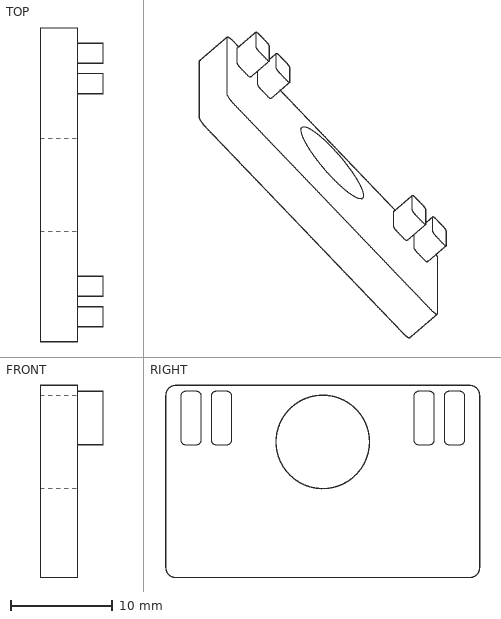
import cadquery as cq

length = 31.0
height = 19.0
depth = 6.2

peg_length = 2.5
plate_thickness = depth - peg_length
corner_radius = 1.0

hole_diameter = 9.2
hole_top_margin = 1.0
hole_center_z = height / 2 - hole_top_margin - hole_diameter / 2

peg_width = 2.0
peg_height = 5.3
peg_edge_radius = 0.5
peg_end_margin = 1.5
peg_top_margin = 0.6
peg_pitch = 3.0
outer_peg_y = length / 2 - peg_end_margin - peg_width / 2
inner_peg_y = outer_peg_y - peg_pitch
peg_center_z = height / 2 - peg_top_margin - peg_height / 2


def rounded_block(x_size, y_size, z_size, radius):
    """Block starting at X = 0, centred in Y and Z, with its X-direction edges rounded."""
    block = cq.Workplane("XY").box(x_size, y_size, z_size, centered=(False, True, True))
    return block.edges("|X").fillet(radius)


def make_plate():
    """Rounded plate with the through hole."""
    plate = rounded_block(plate_thickness, length, height, corner_radius)
    hole = (
        cq.Workplane("YZ")
        .center(0, hole_center_z)
        .circle(hole_diameter / 2)
        .extrude(plate_thickness)
    )
    return plate.cut(hole)


def make_peg(center_y):
    """Peg running through the plate thickness and out of its +X face."""
    peg = rounded_block(depth, peg_width, peg_height, peg_edge_radius)
    return peg.translate((0, center_y, peg_center_z))


result = make_plate()
for peg_y in (-outer_peg_y, -inner_peg_y, inner_peg_y, outer_peg_y):
    result = result.union(make_peg(peg_y))